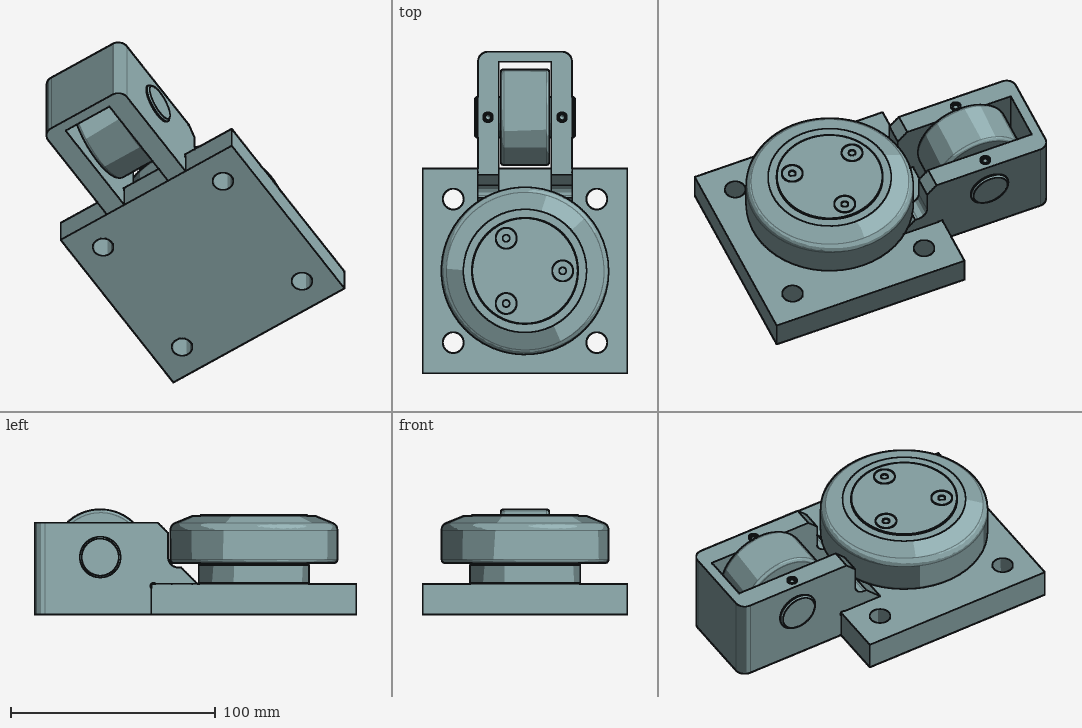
import cadquery as cq
import math

plate_side = 100.0
plate_thickness = 15.0
bolt_spacing = 70.0
bolt_hole_diameter = 10.0
plate_centre_y = plate_side / 2

neck_diameter = 54.0
neck_chamfer = 0.5
collar_diameter = 52.0
collar_height = 0.5
bearing_diameter = 81.6
bearing_bottom_z = 25.1
bearing_top_z = 48.2
flat_top_diameter = 60.1
cone_angle = 22.0
bearing_top_fillet = 3.8
bearing_bottom_fillet = 1.9

cap_diameter = 52.0
cap_height = 0.6
cap_chamfer = 0.3
screw_count = 3
screw_circle_radius = 18.4
screw_head_diameter = 10.4
screw_ring_width = 0.2
screw_ring_depth = 0.3
screw_socket_diameter = 3.5
screw_socket_depth = 0.6

bracket_back_y = 157.0
bracket_width = 46.0
bracket_height = 44.9
bracket_corner_radius = 5.0
slot_width = 25.6
back_wall = 5.0
arm_front_y = 91.8
arm_top_chamfer = 5.0
toe_top_z = 23.1
toe_flat_end_y = 85.5
arm_root_fillet = 5.0
relief_radius = 1.4

pin_y = 125.0
pin_z = 28.1
pin_diameter = 20.0
pin_length = 49.0
pin_chamfer = 1.0
roller_diameter = 46.8
roller_width = 23.9
roller_fillet = 1.5

set_screw_spacing = 36.1
set_screw_diameter = 4.9
set_screw_recess = 0.5
set_screw_socket_width = 3.5
set_screw_socket_depth = 1.1
set_screw_socket_turn = 30.0
set_screw_cone_diameter = 2.8
set_screw_cone_depth = 1.3


def make_plate():
    plate = cq.Workplane("XY").box(plate_side, plate_side, plate_thickness, centered=(True, True, False))
    plate = plate.faces(">Z").workplane().rect(bolt_spacing, bolt_spacing, forConstruction=True).vertices()
    return plate.hole(bolt_hole_diameter).translate((0, plate_centre_y, 0))


def make_bearing():
    bearing_radius = bearing_diameter / 2
    flat_radius = flat_top_diameter / 2
    shoulder_z = bearing_top_z - (bearing_radius - flat_radius) * math.tan(math.radians(cone_angle))

    neck = (
        cq.Workplane("XY", origin=(0, 0, plate_thickness))
        .circle(neck_diameter / 2)
        .extrude(bearing_bottom_z - collar_height - plate_thickness)
        .faces("<Z or >Z")
        .chamfer(neck_chamfer)
    )
    collar = (
        cq.Workplane("XY", origin=(0, 0, bearing_bottom_z))
        .circle(collar_diameter / 2)
        .extrude(-collar_height)
    )
    ring = (
        cq.Workplane("XZ")
        .moveTo(0, bearing_bottom_z)
        .lineTo(bearing_radius, bearing_bottom_z)
        .lineTo(bearing_radius, shoulder_z)
        .lineTo(flat_radius, bearing_top_z)
        .lineTo(0, bearing_top_z)
        .close()
        .revolve(360, (0, 0, 0), (0, 1, 0))
    )
    ring = ring.faces("<Z").edges().fillet(bearing_bottom_fillet)
    shoulder = cq.selectors.NearestToPointSelector((0, 0, shoulder_z))
    ring = ring.edges("%CIRCLE").edges(shoulder).fillet(bearing_top_fillet)
    cap = (
        cq.Workplane("XY", origin=(0, 0, bearing_top_z))
        .circle(cap_diameter / 2)
        .extrude(cap_height)
        .faces(">Z")
        .chamfer(cap_chamfer)
    )
    bearing = neck.union(collar).union(ring).union(cap)

    screw_places = cq.Workplane("XY", origin=(0, 0, bearing_top_z + cap_height)).polarArray(
        screw_circle_radius, 0, 360, screw_count
    )
    head_radius = screw_head_diameter / 2
    grooves = (
        screw_places.circle(head_radius)
        .circle(head_radius - screw_ring_width)
        .extrude(-screw_ring_depth)
    )
    sockets = screw_places.circle(screw_socket_diameter / 2).extrude(-screw_socket_depth)
    return bearing.cut(grooves).cut(sockets).translate((0, plate_centre_y, 0))


def make_bracket():
    toe_tip_y = toe_flat_end_y - (toe_top_z - plate_thickness)
    bracket = (
        cq.Workplane("YZ", origin=(-bracket_width / 2, 0, 0))
        .moveTo(bracket_back_y, 0)
        .lineTo(bracket_back_y, bracket_height)
        .lineTo(arm_front_y + arm_top_chamfer, bracket_height)
        .lineTo(arm_front_y, bracket_height - arm_top_chamfer)
        .lineTo(arm_front_y, toe_top_z + arm_root_fillet)
        .radiusArc((arm_front_y - arm_root_fillet, toe_top_z), arm_root_fillet)
        .lineTo(toe_flat_end_y, toe_top_z)
        .lineTo(toe_tip_y, plate_thickness)
        .lineTo(plate_side, plate_thickness)
        .lineTo(plate_side, 0)
        .close()
        .extrude(bracket_width)
    )
    bracket = bracket.edges("|Z and >Y").fillet(bracket_corner_radius)
    slot_end_y = bracket_back_y - back_wall
    slot = (
        cq.Workplane("XY")
        .center(0, slot_end_y / 2)
        .rect(slot_width, slot_end_y)
        .extrude(bracket_height)
    )
    relief_inset = relief_radius / math.sqrt(2)
    relief = (
        cq.Workplane("YZ", origin=(-bracket_width / 2, 0, 0))
        .center(plate_side - relief_inset, plate_thickness - relief_inset)
        .circle(relief_radius)
        .extrude(bracket_width)
    )
    return bracket.cut(slot).cut(relief)


def make_side_roller():
    pin = (
        cq.Workplane("YZ", origin=(-pin_length / 2, pin_y, pin_z))
        .circle(pin_diameter / 2)
        .extrude(pin_length)
        .faces("<X or >X")
        .chamfer(pin_chamfer)
    )
    roller = (
        cq.Workplane("YZ", origin=(-roller_width / 2, pin_y, pin_z))
        .circle(roller_diameter / 2)
        .extrude(roller_width)
        .faces("<X or >X")
        .edges()
        .fillet(roller_fillet)
    )
    return pin.union(roller)


def cut_set_screw(bracket, x):
    """Cut one screw recess: a shallow round, a hexagon socket and its drilled tip."""
    top = cq.Workplane("XY")
    recess = top.circle(set_screw_diameter / 2).extrude(-set_screw_recess)
    socket = top.polygon(6, set_screw_socket_width).extrude(-set_screw_socket_depth)
    socket = socket.rotate((0, 0, 0), (0, 0, 1), set_screw_socket_turn)
    tip = cq.Solid.makeCone(
        set_screw_cone_diameter / 2,
        0,
        set_screw_cone_depth,
        pnt=cq.Vector(0, 0, -set_screw_socket_depth),
        dir=cq.Vector(0, 0, -1),
    )
    place = (x, pin_y, bracket_height)
    for cutter in (recess, socket, cq.Workplane(tip)):
        bracket = bracket.cut(cutter.translate(place))
    return bracket


bearing_unit = make_plate().union(make_bearing())

bracket_unit = make_bracket().union(make_side_roller())
for screw_x in (-set_screw_spacing / 2, set_screw_spacing / 2):
    bracket_unit = cut_set_screw(bracket_unit, screw_x)

result = cq.Compound.makeCompound([bearing_unit.solids().val(), bracket_unit.solids().val()])